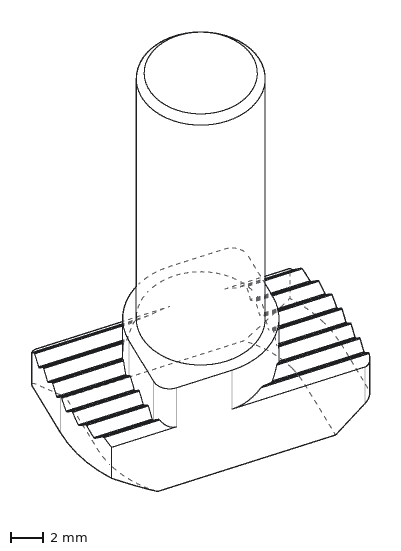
import cadquery as cq
import math

TOTAL_HEIGHT = 30.8
WIDTH = 9.7
HEAD_LENGTH = 19.0
HALF_WIDTH = WIDTH / 2
HALF_LENGTH = HEAD_LENGTH / 2

HEAD_TOP = 5.8
HEAD_CORNER_RADIUS = 0.5
UNDERSIDE_CHAMFER = 2.5

TOOTH_PITCH = 1.4
TOOTH_FLAT = 0.1
TOOTH_DEPTH = TOOTH_PITCH / 2 - TOOTH_FLAT
FIRST_VALLEY_OFFSET = 0.14
VALLEY_HEIGHT = HEAD_TOP - TOOTH_DEPTH

COLLAR_TOP = 8.78
COLLAR_CORNER_RADIUS = 1.08
SHANK_DIAMETER = 8.0
SHANK_CHAMFER = 0.5


def twist_outline(half_length):
    """Rectangle with large arcs about the centre at the -X +Y and +X -Y corners."""
    arc_end_y = math.sqrt(half_length**2 - HALF_WIDTH**2)
    middle_angle = math.asin(HALF_WIDTH / half_length) / 2
    middle_x = half_length * math.sin(middle_angle)
    middle_y = half_length * math.cos(middle_angle)
    outline = (
        cq.Workplane("XY")
        .moveTo(0, half_length)
        .lineTo(HALF_WIDTH, half_length)
        .lineTo(HALF_WIDTH, -arc_end_y)
        .threePointArc((middle_x, -middle_y), (0, -half_length))
        .lineTo(-HALF_WIDTH, -half_length)
        .lineTo(-HALF_WIDTH, arc_end_y)
        .threePointArc((-middle_x, middle_y), (0, half_length))
    )
    return outline.close()


def rounded_prism(half_length, height, corner_radius):
    """Twist-in prism whose two square corners are rounded."""
    prism = twist_outline(half_length).extrude(height)
    for x, y in ((HALF_WIDTH, half_length), (-HALF_WIDTH, -half_length)):
        corner = cq.selectors.NearestToPointSelector((x, y, height / 2))
        prism = prism.edges(corner).fillet(corner_radius)
    return prism


def serration_cutter():
    """Material above the teeth, with a flat strip along the -X side."""
    roof = HEAD_TOP + TOOTH_DEPTH
    first_valley = -HALF_WIDTH + FIRST_VALLEY_OFFSET
    tooth_count = math.ceil(WIDTH / TOOTH_PITCH)
    half_flat = TOOTH_FLAT / 2
    points = [(-WIDTH, roof), (-WIDTH, VALLEY_HEIGHT)]
    for tooth in range(tooth_count):
        valley_x = first_valley + tooth * TOOTH_PITCH
        crest_x = valley_x + TOOTH_PITCH / 2
        points.append((valley_x + half_flat, VALLEY_HEIGHT))
        points.append((crest_x - half_flat, HEAD_TOP))
        points.append((crest_x + half_flat, HEAD_TOP))
        points.append((valley_x + TOOTH_PITCH - half_flat, VALLEY_HEIGHT))
    last_x = first_valley + tooth_count * TOOTH_PITCH
    points.append((last_x, VALLEY_HEIGHT))
    points.append((last_x, roof))
    return cq.Workplane("XZ").polyline(points).close().extrude(HALF_LENGTH, both=True)


def make_head():
    blank = twist_outline(HALF_LENGTH).extrude(HEAD_TOP)
    end_edges = blank.faces("<Z").edges("not |Y")
    blank = end_edges.chamfer(UNDERSIDE_CHAMFER)
    rounded = rounded_prism(HALF_LENGTH, HEAD_TOP, HEAD_CORNER_RADIUS)
    return blank.intersect(rounded).cut(serration_cutter())


def make_collar():
    height = COLLAR_TOP - UNDERSIDE_CHAMFER
    collar = rounded_prism(HALF_WIDTH, height, COLLAR_CORNER_RADIUS)
    return collar.mirror("YZ").translate((0, 0, UNDERSIDE_CHAMFER))


def make_shank():
    shank = cq.Workplane("XY").workplane(offset=COLLAR_TOP).circle(SHANK_DIAMETER / 2)
    shank = shank.extrude(TOTAL_HEIGHT - COLLAR_TOP)
    return shank.faces(">Z").chamfer(SHANK_CHAMFER)


result = make_head().union(make_collar()).union(make_shank())